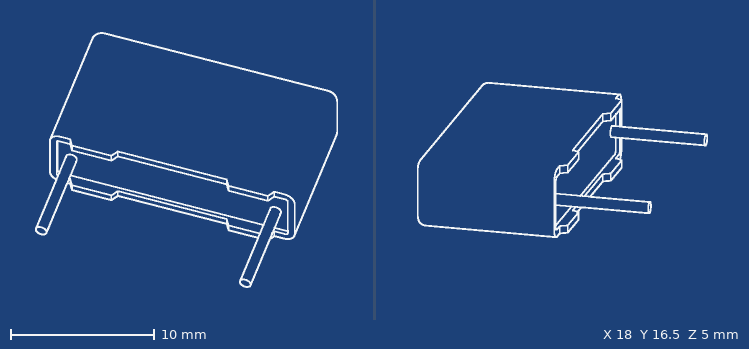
import cadquery as cq

case_width = 18.0
case_depth = 10.0
case_height = 5.0
side_edge_radius = 0.8
back_edge_radius = 0.55

end_wall = 0.5
broad_wall = 0.55
recess_depth = 0.3
recess_corner_radius = 0.2

foot_height = 0.5
foot_outer_x = 7.5
foot_inner_x = 4.0
foot_taper = 0.3

lead_pitch = 15.0
lead_diameter = 0.8
lead_length = 6.5


def make_case():
    """Solid block with rounded long edges and a rounded back."""
    block = cq.Workplane("XY").box(case_width, case_depth, case_height, centered=(True, False, True))
    block = block.edges("|Y").fillet(side_edge_radius)
    return block.faces(">Y").edges().fillet(back_edge_radius)


def make_recess():
    """Shallow pocket volume behind the rim, leaving the walls around it."""
    recess_width = case_width - 2 * end_wall
    recess_height = case_height - 2 * broad_wall
    pocket = cq.Workplane("XY").box(recess_width, recess_depth, recess_height, centered=(True, False, True))
    return pocket.edges("|Y").fillet(recess_corner_radius)


def make_foot(x_side, z_bottom):
    """Tapered foot on the left (-1) or right (+1), one broad wall thick."""
    outline = [
        (x_side * foot_outer_x, 0),
        (x_side * (foot_outer_x - foot_taper), -foot_height),
        (x_side * (foot_inner_x + foot_taper), -foot_height),
        (x_side * foot_inner_x, 0),
    ]
    return cq.Workplane("XY", origin=(0, 0, z_bottom)).polyline(outline).close().extrude(broad_wall)


def make_lead(x_side):
    """Round lead from the recess floor to its tip in front of the rim."""
    floor = cq.Workplane("XZ", origin=(x_side * lead_pitch / 2, recess_depth, 0))
    return floor.circle(lead_diameter / 2).extrude(recess_depth + lead_length)


result = make_case().cut(make_recess())
for side in (-1, 1):
    for foot_z in (-case_height / 2, case_height / 2 - broad_wall):
        result = result.union(make_foot(side, foot_z))
    result = result.union(make_lead(side))